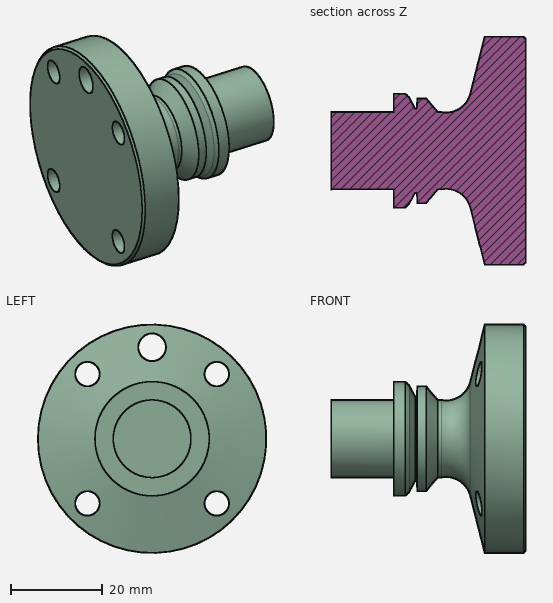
import cadquery as cq
import math

overall_length = 42.56

shank_radius = 8.5
neck_radius = shank_radius
neck_start = 23.3
neck_land = 0.8

collar_radius = 12.5
collar_start = 13.64
collar_width = 2.6
collar_chamfer = 0.8

groove_radius = 9.25
groove_start = 18.35
groove_floor_width = 0.3

ring_radius = 11.5
ring_start = 18.85
ring_end = 20.75

flange_radius = 25.0
rim_thickness = 9.0
rim_chamfer = 0.5
cone_inner_radius = 12.3
cone_tilt = math.radians(14.2)
blend_radius = 5.4

hole_circle_radius = 20.0
bolt_hole_diameter = 5.3
bolt_hole_angles = (45, 135, 225, 315)
locating_hole_diameter = 6.0
locating_hole_angle = 90


def blend_midpoint(start, end, radius):
    """Point halfway along the concave arc from start to end that bulges towards +X and the axis."""
    chord_x = end[0] - start[0]
    chord_r = end[1] - start[1]
    chord = math.hypot(chord_x, chord_r)
    sagitta = radius - math.sqrt(radius**2 - (chord / 2) ** 2)
    mid_x = (start[0] + end[0]) / 2 + sagitta * chord_r / chord
    mid_r = (start[1] + end[1]) / 2 - sagitta * chord_x / chord
    return (mid_x, mid_r)


def turned_body():
    """Revolve the half profile, drawn as (x, radius), about the X axis."""
    collar_end = collar_start + collar_width
    rim_start = overall_length - rim_thickness
    cone_start = rim_start - (flange_radius - cone_inner_radius) * math.tan(cone_tilt)
    blend_start = (neck_start + neck_land, neck_radius)
    blend_end = (cone_start, cone_inner_radius)

    profile = (
        cq.Workplane("XY")
        .moveTo(0, 0)
        .lineTo(0, shank_radius)
        .lineTo(collar_start, shank_radius)
        .lineTo(collar_start, collar_radius)
        .lineTo(collar_end, collar_radius)
        .lineTo(collar_end + collar_chamfer, collar_radius - collar_chamfer)
        .lineTo(groove_start, groove_radius)
        .lineTo(groove_start + groove_floor_width, groove_radius)
        .lineTo(ring_start, ring_radius)
        .lineTo(ring_end, ring_radius)
        .lineTo(neck_start, neck_radius)
        .lineTo(*blend_start)
        .threePointArc(blend_midpoint(blend_start, blend_end, blend_radius), blend_end)
        .lineTo(rim_start, flange_radius)
        .lineTo(overall_length - rim_chamfer, flange_radius)
        .lineTo(overall_length, flange_radius - rim_chamfer)
        .lineTo(overall_length, 0)
        .close()
    )
    return profile.revolve(360, (0, 0, 0), (1, 0, 0))


def flange_hole(diameter, angle):
    """Cutter parallel to X through the flange; the angle runs from +Y towards +Z."""
    center_y = hole_circle_radius * math.cos(math.radians(angle))
    center_z = hole_circle_radius * math.sin(math.radians(angle))
    return (
        cq.Workplane("YZ")
        .center(center_y, center_z)
        .circle(diameter / 2)
        .extrude(overall_length)
    )


result = turned_body()
for bolt_angle in bolt_hole_angles:
    result = result.cut(flange_hole(bolt_hole_diameter, bolt_angle))
result = result.cut(flange_hole(locating_hole_diameter, locating_hole_angle))